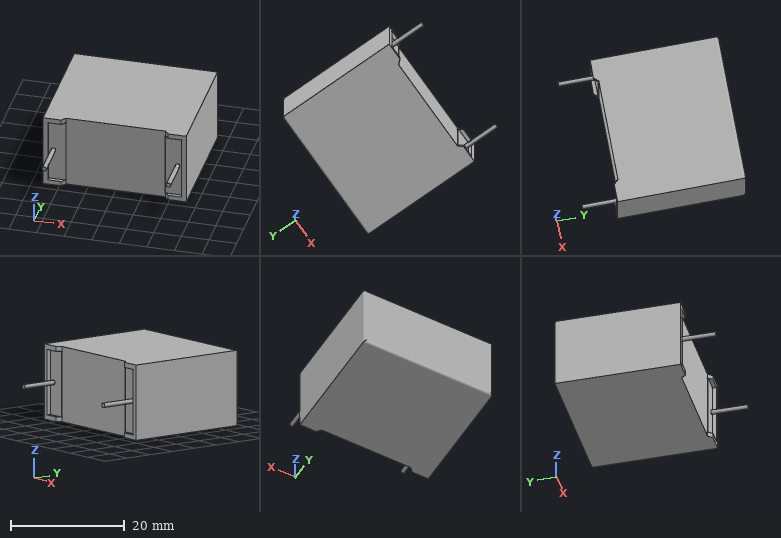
import cadquery as cq

case_width = 26.0
case_height = 13.5
total_length = 29.0
lead_length = 6.0
case_length = total_length - lead_length
back_y = total_length / 2
foot_y = back_y - case_length
tip_y = back_y - total_length

wall = 0.9
back_fillet = 0.5
step_depth = 0.8
step_half_width = 9.0
foot_half_gap = 9.7
step_y = foot_y + step_depth
bridge_y = step_y + wall

fill_recess = 0.7
fill_y = foot_y + fill_recess
cavity_width = case_width - 2 * wall
cavity_height = case_height - 2 * wall
cavity_back_y = back_y - wall

lead_diameter = 0.8
lead_spacing = 22.5


def block(half_width, front_y, rear_y, height):
    """Box centred on X and Z, reaching from front_y to rear_y."""
    return (
        cq.Workplane("XY")
        .box(2 * half_width, rear_y - front_y, height)
        .translate((0, (front_y + rear_y) / 2, 0))
    )


def make_fill(front_y):
    """Cavity shape open at front_y, without the bridge across its middle."""
    cavity = block(cavity_width / 2, front_y, cavity_back_y, cavity_height)
    bridge = block(step_half_width, front_y, bridge_y, cavity_height)
    return cavity.cut(bridge)


def make_case():
    """Box with a rounded back, standing on two end feet with sloped inner sides."""
    outer = block(case_width / 2, foot_y, back_y, case_height)
    outer = outer.faces(">Y").edges().fillet(back_fillet)
    foot_gap = (
        cq.Workplane("XY")
        .polyline([
            (-foot_half_gap, foot_y),
            (-step_half_width, step_y),
            (step_half_width, step_y),
            (foot_half_gap, foot_y),
        ])
        .close()
        .extrude(case_height / 2, both=True)
    )
    return outer.cut(foot_gap).cut(make_fill(foot_y))


def make_lead(x):
    """Round wire standing on the filler."""
    return (
        cq.Workplane("XZ", origin=(x, fill_y, 0))
        .circle(lead_diameter / 2)
        .extrude(fill_y - tip_y)
    )


case = make_case()
filler = make_fill(fill_y)
leads = [make_lead(side * lead_spacing / 2) for side in (-1, 1)]

result = cq.Compound.makeCompound([
    case.solids().val(),
    filler.solids().val(),
    *[lead.val() for lead in leads],
])